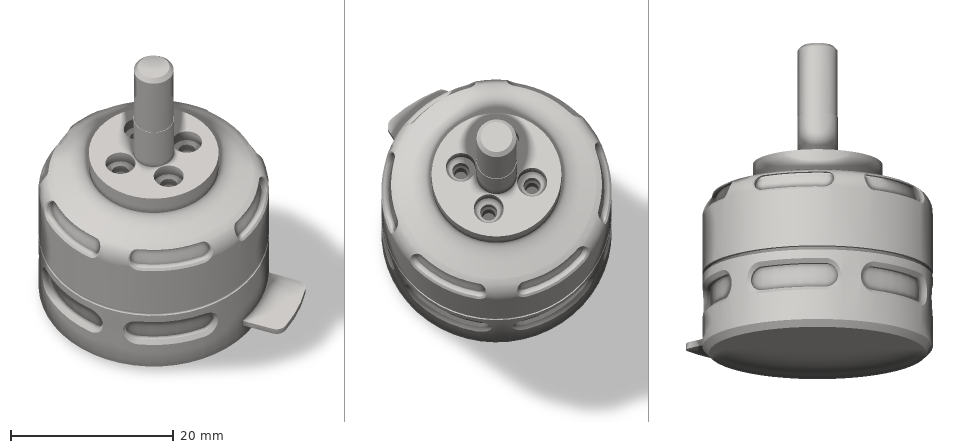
import cadquery as cq
import math

body_radius = 14.2
base_top = 9.65
rotor_bottom = 10.15
slot_count = 6
slot_pitch = 360 / slot_count
slot_straight_length = 8.0

neck_radius = 13.7
base_chamfer = 0.8
base_slot_middle = 6.55
base_slot_height = 3.0
base_slot_chamfer = 0.5
base_slot_floor_radius = 13.2

tab_bottom = 2.75
tab_thickness = 0.8
tab_width = 9.0
tab_tip_radius = 19.0
tab_corner_radius = 1.3
tab_root = 10.0

hub_radius = 8.0
hub_bottom = 21.4
hub_top = 23.9
cone_slope = 15.0
shoulder_radius = 2.55
cone_drop = (body_radius - hub_radius) * math.tan(math.radians(cone_slope))
eave_height = hub_bottom - cone_drop
shoulder_end_angle = 90 - cone_slope
shoulder_bottom = eave_height - shoulder_radius * math.tan(math.radians(shoulder_end_angle / 2))
shoulder_centre_radius = body_radius - shoulder_radius

bell_slot_middle = 18.77
bell_slot_height = 2.1
bell_slot_chamfer = 0.25
bell_slot_bottom = bell_slot_middle - bell_slot_height / 2
bell_slot_floor_radius = 13.3
bell_slot_floor_taper = 0.42
mould_clearance = 0.05
mould_start_angle = -30.0

shaft_diameter = 5.0
shaft_tip_diameter = 4.9
shaft_step = 29.9
shaft_top = 38.9
shaft_chamfer = 0.5

hole_spacing = 6.36
counterbore_diameter = 3.7
counterbore_depth = 1.5
clearance_diameter = 2.1
clearance_depth = 1.0
thread_diameter = 1.62
thread_depth = 1.5


def revolved(outline):
    """Turns a closed (radius, height) outline about the Z axis, starting from +Y, between slots."""
    return outline.close().revolve(360, (0, 0, 0), (0, 1, 0))


def turned(points):
    return revolved(cq.Workplane("YZ").polyline(points))


def slot_prism(middle, height, core):
    """One obround cutter along +X that stops at the surface of the core."""
    prism = (
        cq.Workplane("YZ")
        .center(0, middle)
        .slot2D(slot_straight_length + height, height)
        .extrude(body_radius + 1)
    )
    return prism.cut(core)


def cut_around(body, cutter, places):
    """Cuts copies of a cutter turned to the given slot places around Z."""
    for place in places:
        body = body.cut(cutter.rotate((0, 0, 0), (0, 0, 1), place * slot_pitch))
    return body


def chamfer_mouths(body, skin_type, size):
    """Chamfers the rims of all slots that open in skin faces of the given type."""
    rims = []
    for skin in body.faces(skin_type).vals():
        for wire in skin.innerWires():
            rims.extend(wire.Edges())
    return body.newObject(rims).chamfer(size)



def make_tab():
    half = tab_width / 2
    corner = math.sqrt(tab_tip_radius**2 - half**2)
    return (
        cq.Workplane("XY", origin=(0, 0, tab_bottom))
        .moveTo(tab_root, -half)
        .lineTo(corner, -half)
        .threePointArc((tab_tip_radius, 0), (corner, half))
        .lineTo(tab_root, half)
        .close()
        .extrude(tab_thickness)
        .edges("|Z").edges(">X").fillet(tab_corner_radius)
    )


def make_base():
    base = turned([
        (0, 0),
        (body_radius - base_chamfer, 0),
        (body_radius, base_chamfer),
        (body_radius, base_top),
        (neck_radius, base_top),
        (neck_radius, rotor_bottom),
        (0, rotor_bottom),
    ])
    core = cq.Workplane("XY").circle(base_slot_floor_radius).extrude(base_top)
    cutter = slot_prism(base_slot_middle, base_slot_height, core)
    base = cut_around(base, cutter, range(1, slot_count))
    base = chamfer_mouths(base, "%CYLINDER", base_slot_chamfer)
    return base.union(make_tab())



def shoulder_point(angle, offset=0.0):
    """(radius, height) on the shoulder arc, or on an arc offset outward from it."""
    arc_radius = shoulder_radius + offset
    turn = math.radians(angle)
    return (
        shoulder_centre_radius + arc_radius * math.cos(turn),
        shoulder_bottom + arc_radius * math.sin(turn),
    )


def make_bell():
    return revolved(
        cq.Workplane("YZ")
        .moveTo(0, rotor_bottom)
        .lineTo(body_radius, rotor_bottom)
        .lineTo(body_radius, shoulder_bottom)
        .threePointArc(shoulder_point(shoulder_end_angle / 2), shoulder_point(shoulder_end_angle))
        .lineTo(hub_radius, hub_bottom)
        .lineTo(hub_radius, hub_top)
        .lineTo(0, hub_top)
    )


def bell_slot_core():
    """Cone that forms the floors of the bell slots; it reaches past them above and below."""
    rise = bell_slot_height + 1
    wide = bell_slot_floor_radius + bell_slot_floor_taper
    narrow = bell_slot_floor_radius - rise * bell_slot_floor_taper
    low = bell_slot_bottom - 1
    high = bell_slot_bottom + rise
    return turned([(0, low), (wide, low), (narrow, high), (0, high)])


def bell_slot_cutter():
    """Slot with a chamfered mouth.

    A mould follows the shoulder just outside the bell's skin as a single torus face. It gets the
    slot and its chamfer, and what it leaves free of a larger slot prism is the cutter.
    """
    core = bell_slot_core()
    chamfer = bell_slot_chamfer + mould_clearance
    start = shoulder_point(mould_start_angle, mould_clearance)
    middle = shoulder_point((mould_start_angle + shoulder_end_angle) / 2, mould_clearance)
    end = shoulder_point(shoulder_end_angle, mould_clearance)
    mould = revolved(
        cq.Workplane("YZ")
        .moveTo(0, start[1])
        .lineTo(*start)
        .threePointArc(middle, end)
        .lineTo(0, end[1])
    )
    mould = mould.cut(slot_prism(bell_slot_middle, bell_slot_height, core))
    mould = chamfer_mouths(mould, "%TORUS", chamfer)
    envelope = slot_prism(bell_slot_middle, bell_slot_height + 2 * chamfer, core)
    return envelope.cut(mould)


def screw_hole():
    """Counterbore, clearance hole and threaded hole, joined by a 45 degree cone."""
    counterbore_radius = counterbore_diameter / 2
    clearance_radius = clearance_diameter / 2
    thread_radius = thread_diameter / 2
    counterbore_floor = hub_top - counterbore_depth
    cone_top = counterbore_floor - clearance_depth
    cone_bottom = cone_top - (clearance_radius - thread_radius)
    hole_bottom = cone_bottom - thread_depth
    return turned([
        (0, hub_top),
        (counterbore_radius, hub_top),
        (counterbore_radius, counterbore_floor),
        (clearance_radius, counterbore_floor),
        (clearance_radius, cone_top),
        (thread_radius, cone_bottom),
        (thread_radius, hole_bottom),
        (0, hole_bottom),
    ])


def make_shaft():
    return (
        cq.Workplane("XY", origin=(0, 0, hub_top))
        .circle(shaft_diameter / 2)
        .extrude(shaft_step - hub_top)
        .faces(">Z").workplane()
        .circle(shaft_tip_diameter / 2)
        .extrude(shaft_top - shaft_step)
        .faces(">Z").chamfer(shaft_chamfer)
    )


def make_rotor():
    rotor = cut_around(make_bell(), bell_slot_cutter(), range(slot_count))
    hole = screw_hole()
    for x in (-hole_spacing / 2, hole_spacing / 2):
        for y in (-hole_spacing / 2, hole_spacing / 2):
            rotor = rotor.cut(hole.translate((x, y, 0)))
    return rotor.union(make_shaft())


base = make_base()
rotor = make_rotor()
result = cq.Compound.makeCompound([base.val(), rotor.val()])